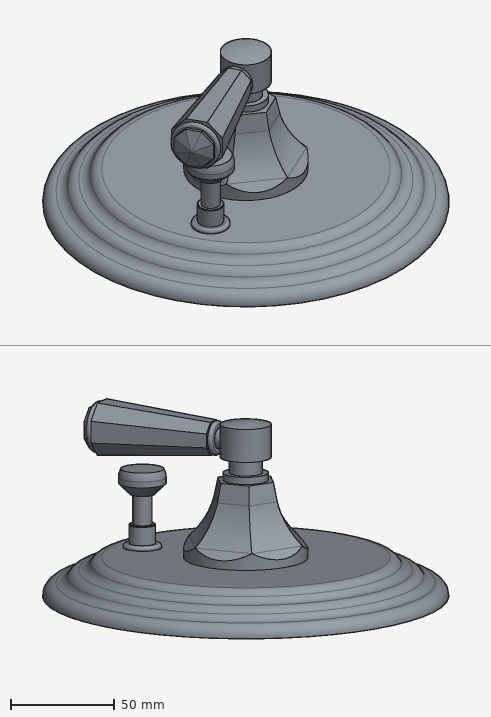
import cadquery as cq
import math

plate_radius = 98.5
plate_height = 19.0
lip_radius = 6.5
face_radius = 69.9
ogee_count = 2
ogee_half_run = (plate_radius - lip_radius - face_radius) / (2 * ogee_count)
ogee_half_rise = (plate_height - lip_radius) / (2 * ogee_count)

bell_base_radius = 30.1
bell_sides = 6
bell_shoulder_z = 27.4
bell_neck_z = 48.0
bell_top_z = 57.5
bell_shoulder_apothem = bell_base_radius * math.cos(math.pi / bell_sides)
bell_neck_apothem = 14.5
bell_top_apothem = 12.8
bell_foot_apothem = bell_shoulder_apothem + bell_shoulder_z - plate_height

collar_radius = 11.0
collar_top_z = 61.0
spindle_radius = 8.0
hub_radius = 12.4
hub_bottom_z = 68.7
hub_edge_z = 85.0
hub_dome_rise = 1.5

lever_axis_z = 76.8
lever_sides = 8
lever_neck_radius = 5.1
ring_start = 14.2
ring_radius = 8.5
lever_start = 17.1
lever_start_apothem = 8.3
lever_end = 76.4
lever_end_apothem = 13.0
band_end = 79.7
band_radius = 12.5
cap_apothem = 10.0
cap_edge = 81.3
cap_tip = 85.0

knob_y = -55.0
knob_flange_radius = 9.5
knob_flange_height = 2.2
knob_flange_fillet = 1.8
knob_sleeve_radius = 6.5
knob_sleeve_top_z = 30.7
knob_sleeve_chamfer = 0.4
knob_stem_radius = 4.7
knob_cone_bottom_z = 45.5
knob_cone_radius = 6.0
knob_rim_z = 51.0
knob_rim_radius = 11.6
knob_edge_z = 54.0
knob_top_z = 58.0
knob_top_radius = 10.5


def cylinder(radius, bottom_z, top_z):
    return cq.Workplane("XY").workplane(offset=bottom_z).circle(radius).extrude(top_z - bottom_z)


def faceted(half_outline, sides, reach):
    """Solid whose opposite flats follow an open half outline drawn in XZ from axis to axis."""
    slab = half_outline.mirrorY().extrude(reach, both=True)
    body = slab
    for i in range(1, sides // 2):
        body = body.intersect(slab.rotate((0, 0, 0), (0, 0, 1), i * 360 / sides))
    return body


def make_plate():
    radius = plate_radius - lip_radius
    z = lip_radius
    lip_diagonal = lip_radius * math.sqrt(0.5)
    outline = (
        cq.Workplane("XZ")
        .lineTo(plate_radius, 0)
        .threePointArc((radius + lip_diagonal, lip_diagonal), (radius, z))
    )
    for _ in range(2 * ogee_count):
        radius -= ogee_half_run
        z += ogee_half_rise
        outline = outline.tangentArcPoint((radius, z), relative=False)
    return outline.lineTo(0, plate_height).close().revolve(360, (0, 0, 0), (0, 1, 0))


def make_bell():
    outline = (
        cq.Workplane("XZ")
        .moveTo(0, plate_height)
        .lineTo(bell_foot_apothem, plate_height)
        .lineTo(bell_shoulder_apothem, bell_shoulder_z)
        .tangentArcPoint((bell_neck_apothem, bell_neck_z), relative=False)
        .lineTo(bell_top_apothem, bell_top_z)
        .lineTo(0, bell_top_z)
    )
    bell = faceted(outline, bell_sides, 2 * bell_base_radius)
    return bell.intersect(cylinder(bell_base_radius, 0, bell_top_z))


def make_hub():
    collar = cylinder(collar_radius, bell_top_z, collar_top_z)
    spindle = cylinder(spindle_radius, bell_top_z, hub_edge_z)
    dome_radius = (hub_radius**2 + hub_dome_rise**2) / (2 * hub_dome_rise)
    dome_top_z = hub_edge_z + hub_dome_rise
    dome = cq.Workplane("XY").sphere(dome_radius).translate((0, 0, dome_top_z - dome_radius))
    hub = cylinder(hub_radius, hub_bottom_z, dome_top_z).intersect(dome)
    return collar.union(spindle).union(hub)


def round_edged_disc(radius, start, end):
    half_width = (end - start) / 2
    return (
        cq.Workplane("XZ")
        .moveTo(0, start)
        .lineTo(radius - half_width, start)
        .threePointArc((radius, start + half_width), (radius - half_width, end))
        .lineTo(0, end)
        .close()
        .revolve(360, (0, 0, 0), (0, 1, 0))
    )


def make_lever():
    """Lever built along +Z from the hub axis, then laid over to point along -Y."""
    reach = 2 * lever_end_apothem
    grip_outline = (
        cq.Workplane("XZ")
        .moveTo(0, lever_start)
        .lineTo(lever_start_apothem, lever_start)
        .lineTo(lever_end_apothem, lever_end)
        .lineTo(0, lever_end)
    )
    cap_outline = (
        cq.Workplane("XZ")
        .moveTo(0, lever_end)
        .lineTo(cap_apothem, lever_end)
        .lineTo(cap_apothem, cap_edge)
        .lineTo(0, cap_tip)
    )
    lever = (
        cylinder(lever_neck_radius, 0, lever_start)
        .union(round_edged_disc(ring_radius, ring_start, lever_start))
        .union(faceted(grip_outline, lever_sides, reach))
        .union(round_edged_disc(band_radius, lever_end, band_end))
        .union(faceted(cap_outline, lever_sides, reach))
    )
    return lever.rotate((0, 0, 0), (1, 0, 0), 90).translate((0, 0, lever_axis_z))


def make_knob():
    flange_top_z = plate_height + knob_flange_height
    flange = cylinder(knob_flange_radius, plate_height, flange_top_z)
    flange = flange.faces(">Z").edges().fillet(knob_flange_fillet)
    sleeve = cylinder(knob_sleeve_radius, plate_height, knob_sleeve_top_z)
    sleeve = sleeve.faces(">Z").edges().chamfer(knob_sleeve_chamfer)
    stem = cylinder(knob_stem_radius, plate_height, knob_top_z)
    head = (
        cq.Workplane("XZ")
        .moveTo(0, knob_cone_bottom_z)
        .lineTo(knob_cone_radius, knob_cone_bottom_z)
        .lineTo(knob_rim_radius, knob_rim_z)
        .lineTo(knob_rim_radius, knob_edge_z)
        .tangentArcPoint((knob_top_radius, knob_top_z), relative=False)
        .lineTo(0, knob_top_z)
        .close()
        .revolve(360, (0, 0, 0), (0, 1, 0))
    )
    return flange.union(sleeve).union(stem).union(head).translate((0, knob_y, 0))


result = make_plate().union(make_bell()).union(make_hub()).union(make_lever()).union(make_knob())